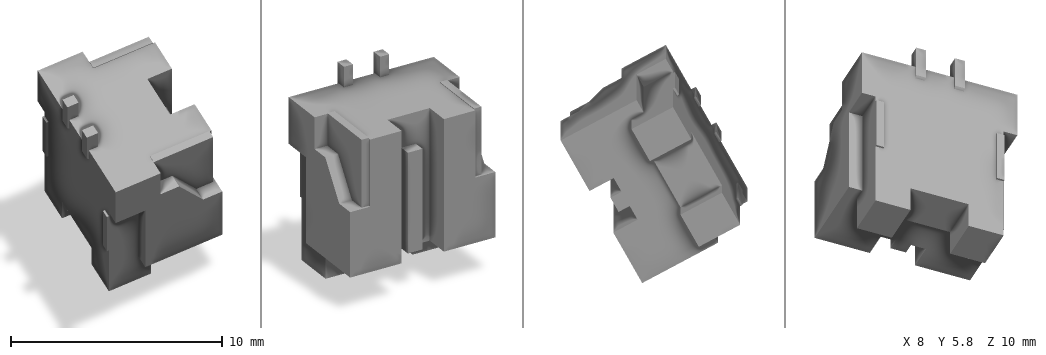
import cadquery as cq

width = 8.0
depth = 5.69
overall_height = 10.0
housing_top = 8.9
housing_bottom = 1.81
core_width = 6.6

foot_depth = 2.24
foot_gap_width = 3.0
foot_gap_height = 1.33

recess_depth = 1.58
recess_top = 6.4

pocket_front = 2.4
pocket_slope_front = 3.39
pocket_slope_back = 4.67
pocket_upper_floor = 7.2
pocket_lower_floor = 5.31

plate_thickness = 0.4
plate_back = 5.57
plate_top = 8.94
tab_bottom = 3.33
tab_top = 6.1

notch_width = 2.33
notch_depth = 1.31
rib_width = 0.8
rib_projection = 0.6

pin_pitch = 2.0
pin_width = 0.5
pin_depth = 0.6
pin_bottom = 8.2
pin_chamfer = 0.11

front_projection = 0.11


def block(x_range, y_range, z_range):
    """Box spanning the given (low, high) ranges."""
    ranges = (x_range, y_range, z_range)
    sizes = [high - low for low, high in ranges]
    corner = tuple(low for low, high in ranges)
    return cq.Workplane("XY").box(*sizes, centered=False).translate(corner)


def centered(size):
    """Range of the given size about zero."""
    return (-size / 2, size / 2)


def side_range(side, inner, outer):
    """X range between two distances from the centre, on side -1 or +1."""
    return tuple(sorted((side * inner, side * outer)))


def make_housing():
    upper = block(centered(width), (0, depth), (housing_bottom, housing_top))
    feet = block(centered(core_width), (0, foot_depth), (0, housing_bottom))
    foot_gap = block(centered(foot_gap_width), (0, foot_depth), (0, foot_gap_height))
    return upper.union(feet).cut(foot_gap)


def make_pocket(x_range):
    low, high = x_range
    profile = [
        (pocket_front, housing_top),
        (pocket_front, pocket_upper_floor),
        (pocket_slope_front, pocket_upper_floor),
        (pocket_slope_back, pocket_lower_floor),
        (depth, pocket_lower_floor),
        (depth, housing_top),
    ]
    pocket = cq.Workplane("YZ").polyline(profile).close().extrude(high - low)
    return pocket.translate((low, 0, 0))


def make_pin(x_center):
    profile = [
        (-front_projection, overall_height),
        (-front_projection, pin_bottom + pin_chamfer),
        (-front_projection + pin_chamfer, pin_bottom),
        (-front_projection + pin_depth, pin_bottom),
        (-front_projection + pin_depth, overall_height),
    ]
    pin = cq.Workplane("YZ").polyline(profile).close().extrude(pin_width)
    return pin.translate((x_center - pin_width / 2, 0, 0))


result = make_housing()

core_half = core_width / 2
plate_inner = core_half - plate_thickness
for side in (-1, 1):
    recess_x = side_range(side, core_half, width / 2)
    pocket_x = side_range(side, plate_inner, width / 2)
    plate_x = side_range(side, plate_inner, core_half)
    recess = block(recess_x, (0, recess_depth), (housing_bottom, recess_top))
    plate = block(plate_x, (pocket_front, plate_back), (pocket_lower_floor, plate_top))
    tab = block(plate_x, (-front_projection, recess_depth), (tab_bottom, tab_top))
    result = result.cut(recess).cut(make_pocket(pocket_x))
    result = result.union(plate).union(tab)

notch_front = depth - notch_depth
notch = block(centered(notch_width), (notch_front, depth), (housing_bottom, housing_top))
rib_y = (notch_front, notch_front + rib_projection)
rib = block(centered(rib_width), rib_y, (housing_bottom, pocket_upper_floor))
result = result.cut(notch).union(rib)

for side in (-1, 1):
    result = result.union(make_pin(side * pin_pitch / 2))